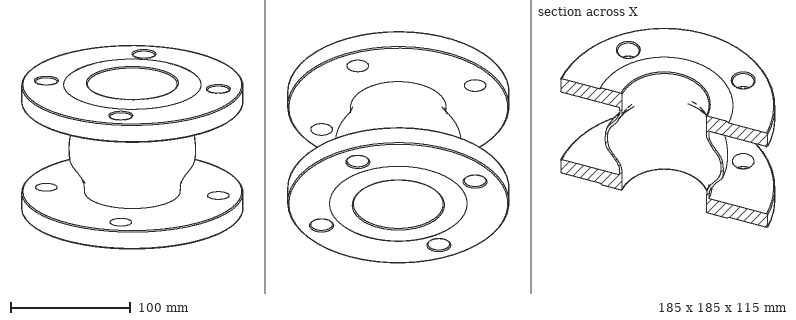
import cadquery as cq
import math

total_height = 115.0
flange_diameter = 185.0
bore_diameter = 75.0

flange_thickness = 16.5
flange_edge_chamfer = 1.0
raised_face_height = 1.5
raised_face_base_diameter = 115.0
raised_face_rim_fillet = 1.0
bore_chamfer = 1.0

bolt_count = 4
bolt_hole_diameter = 18.0
bolt_hole_chamfer = 1.0
bolt_circle_diameter = 145.0
first_bolt_angle = 45.0

wall_thickness = 2.5
bellows_radius = 53.0
shoulder_radius, shoulder_z, shoulder_slope = 50.0, 14.6, 30.0
waist_radius, waist_z, waist_slope = 43.7, 24.0, 34.0
neck_end_radius, neck_end_z, neck_end_slope = 40.7, 31.0, 12.0

face_z = total_height / 2
flange_outer_z = face_z - raised_face_height
flange_inner_z = flange_outer_z - flange_thickness
bore_radius = bore_diameter / 2
neck_radius = bore_radius + wall_thickness


def inset_point(radius, height, slope, inset):
    """Move a point of the bellows curve inwards, square to the wall."""
    angle = math.radians(slope)
    return (radius - inset * math.cos(angle), height - inset * math.sin(angle))


def bellows_solid(inset, seam):
    """Filled bulged body, inset from the outer skin; a seam splits its surface at the middle plane."""
    upper_curve = [
        inset_point(shoulder_radius, shoulder_z, shoulder_slope, inset),
        inset_point(waist_radius, waist_z, waist_slope, inset),
        inset_point(neck_end_radius, neck_end_z, neck_end_slope, inset),
        (neck_radius - inset, flange_inner_z),
    ]
    lower_curve = [(radius, -height) for radius, height in reversed(upper_curve)]
    middle = (bellows_radius - inset, 0)
    upright_ends = [(0, 1), (0, 1)]

    profile = cq.Workplane("XZ").moveTo(0, -flange_inner_z).lineTo(*lower_curve[0])
    if seam:
        profile = profile.spline(lower_curve[1:] + [middle], tangents=upright_ends, includeCurrent=True)
        profile = profile.spline(upper_curve, tangents=upright_ends, includeCurrent=True)
    else:
        whole_curve = lower_curve[1:] + [middle] + upper_curve
        profile = profile.spline(whole_curve, tangents=upright_ends, includeCurrent=True)
    return profile.lineTo(0, flange_inner_z).close().revolve(360, (0, 0), (0, 1))


def bellows():
    """Hollow bellows with a seam line around the middle of its outer skin only."""
    outer = bellows_solid(0, seam=True)
    cavity = bellows_solid(wall_thickness, seam=False)
    return outer.cut(cavity)


def flange():
    """Upper flange: chamfered disc with a raised face tapered at 45 degrees, before the bore is cut."""
    disc_radius = flange_diameter / 2
    raised_face_top_radius = raised_face_base_diameter / 2 - raised_face_height
    chamfered_radius = disc_radius - flange_edge_chamfer
    profile = (
        cq.Workplane("XZ")
        .moveTo(0, flange_inner_z)
        .lineTo(chamfered_radius, flange_inner_z)
        .lineTo(disc_radius, flange_inner_z + flange_edge_chamfer)
        .lineTo(disc_radius, flange_outer_z - flange_edge_chamfer)
        .lineTo(chamfered_radius, flange_outer_z)
        .lineTo(raised_face_base_diameter / 2, flange_outer_z)
        .lineTo(raised_face_top_radius, face_z)
        .lineTo(0, face_z)
        .close()
    )
    disc = profile.revolve(360, (0, 0), (0, 1))
    return disc.faces(">Z").edges().fillet(raised_face_rim_fillet)


def chamfered_hole(diameter, chamfer, bottom_z, top_z):
    """Cutter for a vertical hole whose upper rim is chamfered at top_z."""
    radius = diameter / 2
    profile = (
        cq.Workplane("XZ")
        .moveTo(0, bottom_z)
        .lineTo(radius, bottom_z)
        .lineTo(radius, top_z - chamfer)
        .lineTo(radius + chamfer, top_z)
        .lineTo(0, top_z)
        .close()
    )
    return profile.revolve(360, (0, 0), (0, 1))


def bolt_holes():
    """Cutters for the bolt holes, chamfered on the outer flange face."""
    hole = chamfered_hole(bolt_hole_diameter, bolt_hole_chamfer, flange_inner_z, flange_outer_z)
    first = hole.translate((bolt_circle_diameter / 2, 0, 0))
    cutters = cq.Workplane("XY")
    for index in range(bolt_count):
        angle = first_bolt_angle + index * 360 / bolt_count
        cutters = cutters.add(first.rotate((0, 0, 0), (0, 0, 1), angle))
    return cutters.combine()


def drilled_flange():
    """Upper flange with its bore and bolt holes."""
    bore = chamfered_hole(bore_diameter, bore_chamfer, flange_inner_z, face_z)
    return flange().cut(bore).cut(bolt_holes())


upper_flange = drilled_flange()
lower_flange = upper_flange.mirror("XY")
result = bellows().union(upper_flange).union(lower_flange)